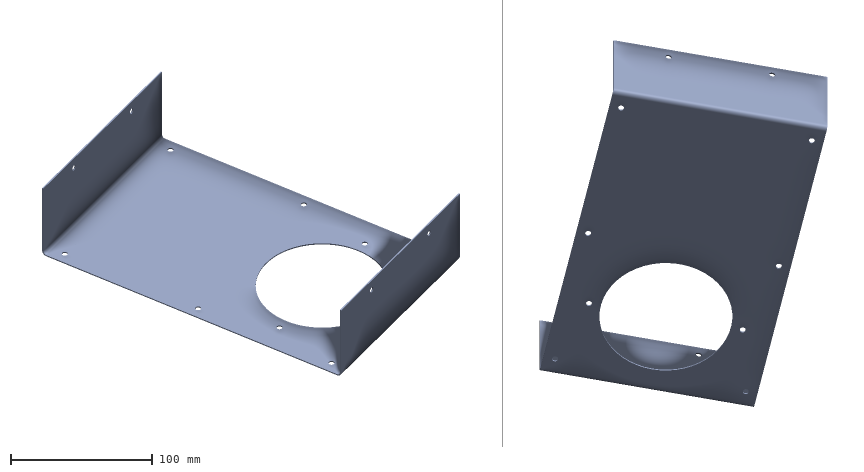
import cadquery as cq

length = 252.0
width = 155.0
height = 61.0
thickness = 1.0
bend_radius = 3.5

screw_diameter = 4.3
opening_diameter = 94.2
opening_x = 60.0
opening_screw_y = 55.7
base_screw_x = 112.5
base_screw_y = 69.0
wall_screw_y = 37.5
wall_screw_drop = 8.5


def rounded_block(block_length, block_height, radius):
    """Block open upwards, with its two lower long edges rounded."""
    block = cq.Workplane("XY").box(block_length, width, block_height, centered=(True, True, False))
    return block.edges("|Y and <Z").fillet(radius)


def channel():
    """U-shaped sheet of constant thickness; the bends share their centres."""
    outside = rounded_block(length, height, bend_radius)
    inside = rounded_block(length - 2 * thickness, height - thickness, bend_radius - thickness)
    return outside.cut(inside.translate((0, 0, thickness)))


def base_cutter(diameter, points):
    """Vertical cylinders that pass through the base."""
    return cq.Workplane("XY").pushPoints(points).circle(diameter / 2).extrude(bend_radius)


base_screws = [(x, y) for x in (-base_screw_x, 0, base_screw_x) for y in (-base_screw_y, base_screw_y)]
opening_screws = [(opening_x, y) for y in (-opening_screw_y, opening_screw_y)]
wall_screws = [(y, height - wall_screw_drop) for y in (-wall_screw_y, wall_screw_y)]

wall_cutter = cq.Workplane("YZ").pushPoints(wall_screws).circle(screw_diameter / 2).extrude(length / 2, both=True)

result = (
    channel()
    .cut(base_cutter(opening_diameter, [(opening_x, 0)]))
    .cut(base_cutter(screw_diameter, base_screws + opening_screws))
    .cut(wall_cutter)
)